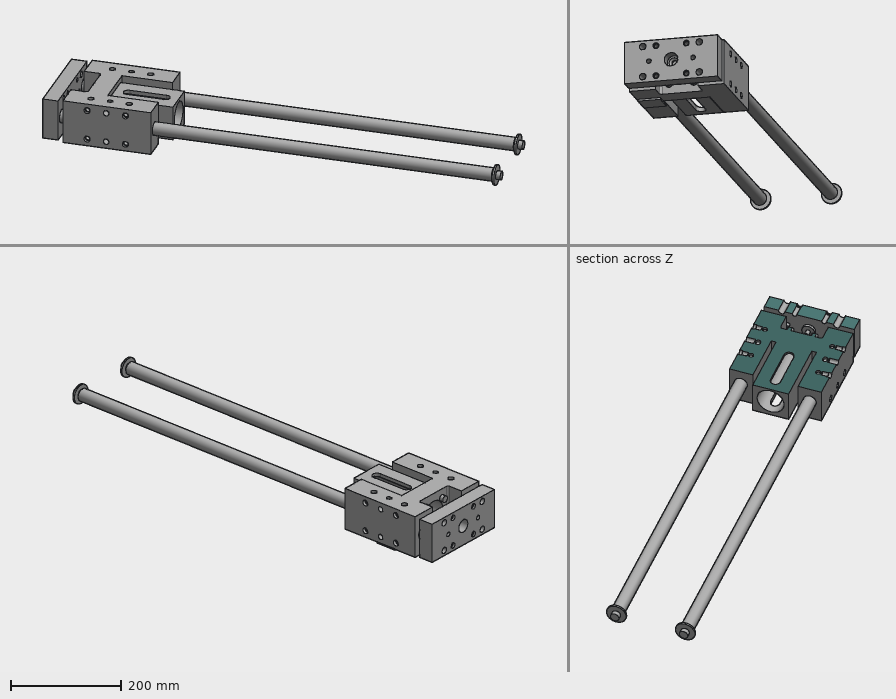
import cadquery as cq

total_length = 864.0

plate_thickness = 29.0
plate_width = 174.5
plate_height = 79.0
rod_spacing = 133.0
rod_diameter = 25.0
rod_chamfer = 3.5
stop_diameter = 38.0
stop_thickness = 3.5
stop_gap = 9.0
stop_screw_diameter = 16.0
coupling_diameter = 25.0
coupling_thickness = 5.0
coupling_bore_depth = 21.0
coupling_pin_diameter = 8.4
coupling_pin_length = 10.0
coupling_cone_diameter = 18.0
coupling_cone_depth = 4.0
coupling_socket_diameter = 10.0
coupling_socket_depth = 8.0

plate_hole_height = 57.0
outer_plate_hole_spacing = 106.0
outer_plate_hole_diameter = 12.0
inner_plate_hole_spacing = 57.0
inner_plate_hole_mouth_diameter = 10.0
inner_plate_hole_core_diameter = 8.0
inner_plate_hole_mouth_depth = 4.0
dowel_spacing = 83.0
dowel_diameter = 8.5

housing_gap = 9.5
housing_length = 167.0
housing_width = 178.0
housing_height = 84.0
front_notch_depth = 32.0
front_notch_width = 80.0
front_notch_fillet = 4.0
web_thickness = 39.0
rear_notch_width = 86.0

tongue_width = 70.0
tongue_height = 66.0
tongue_drop = 1.0
tongue_length = 121.0
slot_width = 18.0
slot_length = 88.0
slot_offset = 16.0

bore_diameter = 52.0
web_screw_diameter = 13.0
web_screw_height = 8.0
web_screw_spacing = 47.0

mount_start = 46.0
mount_pitch = 36.0
mount_mouth_diameter = 11.0
mount_core_diameter = 8.5
side_dowel_diameter = 10.0
mount_depth = 17.0
mount_mouth_depth = 6.0
top_row_spacing = 130.0
side_row_spacing = 57.0
dowel_slot_length = 10.0
dowel_slot_width = 8.5

pad_size = 42.0
pad_height = 3.5
pad_center_x = 110.0
pad_center_y = 66.0

housing_front = plate_thickness + housing_gap
housing_rear = housing_front + housing_length
web_front = housing_front + front_notch_depth
web_rear = web_front + web_thickness
rod_sides = (-rod_spacing / 2, rod_spacing / 2)
mount_row = [housing_front + mount_start + i * mount_pitch for i in range(3)]


def block(x_start, length, width, height):
    """A box centred on the X axis that starts at x_start."""
    plane = cq.Workplane("XY", origin=(x_start, 0, 0))
    return plane.box(length, width, height, centered=(False, True, True))


def cylinder_along_x(x_start, length, diameter, y=0, z=0):
    """A cylinder along +X."""
    return cq.Workplane("YZ", origin=(x_start, y, z)).circle(diameter / 2).extrude(length)


def grid(y_spacing, z_spacing):
    """The four corners of a centred rectangle."""
    return [(sy * y_spacing / 2, sz * z_spacing / 2) for sy in (-1, 1) for sz in (-1, 1)]


def make_guide_rod(y):
    """One rod with its end stop and stop screw."""
    stop_rear = total_length - stop_gap
    stop_front = stop_rear - stop_thickness
    rod = cylinder_along_x(plate_thickness, stop_front - plate_thickness, rod_diameter, y)
    rod = rod.faces(">X").chamfer(rod_chamfer)
    stop = cylinder_along_x(stop_front, stop_thickness, stop_diameter, y)
    screw = cylinder_along_x(stop_rear, stop_gap, stop_screw_diameter, y)
    return rod.union(stop).union(screw)


def make_coupling(plate):
    """Adds the flange and pin behind the plate, and the stepped socket in front of them."""
    flange = cylinder_along_x(plate_thickness, coupling_thickness, coupling_diameter)
    pin = cylinder_along_x(plate_thickness + coupling_thickness, coupling_pin_length, coupling_pin_diameter)
    bore = cylinder_along_x(0, coupling_bore_depth, coupling_diameter)
    cone = cq.Solid.makeCone(
        coupling_cone_diameter / 2,
        coupling_socket_diameter / 2,
        coupling_cone_depth,
        cq.Vector(coupling_bore_depth, 0, 0),
        cq.Vector(1, 0, 0),
    )
    socket = cylinder_along_x(coupling_bore_depth, coupling_socket_depth, coupling_socket_diameter)
    return plate.union(flange).union(pin).cut(bore).cut(cq.Workplane(cone)).cut(socket)


def make_slide():
    plate = block(0, plate_thickness, plate_width, plate_height)
    for y, z in grid(outer_plate_hole_spacing, plate_hole_height):
        plate = plate.cut(cylinder_along_x(0, plate_thickness, outer_plate_hole_diameter, y, z))
    for y, z in grid(inner_plate_hole_spacing, plate_hole_height):
        plate = plate.cut(cylinder_along_x(0, plate_thickness, inner_plate_hole_core_diameter, y, z))
        mouth = cylinder_along_x(0, inner_plate_hole_mouth_depth, inner_plate_hole_mouth_diameter, y, z)
        plate = plate.cut(mouth)
    for y in (-dowel_spacing / 2, dowel_spacing / 2):
        plate = plate.cut(cylinder_along_x(0, plate_thickness, dowel_diameter, y))
    slide = make_coupling(plate)
    for y in rod_sides:
        slide = slide.union(make_guide_rod(y))
    return slide


def blind_hole(center, direction, diameter, depth):
    """A round cutter that starts at center and goes into the body along direction."""
    return cq.Workplane(cq.Solid.makeCylinder(diameter / 2, depth, center, direction))


def mount_hole(center, direction):
    """A stepped cutter: a wide mouth, then a narrower core."""
    core = blind_hole(center, direction, mount_core_diameter, mount_depth)
    return core.union(blind_hole(center, direction, mount_mouth_diameter, mount_mouth_depth))


def make_frame():
    """The H-shaped housing block with its two notches."""
    frame = block(housing_front, housing_length, housing_width, housing_height)
    front_notch = block(housing_front, front_notch_depth, front_notch_width, housing_height)
    rear_notch = block(web_rear, housing_rear - web_rear, rear_notch_width, housing_height)
    return frame.cut(front_notch.edges("|Z and >X").fillet(front_notch_fillet)).cut(rear_notch)


def make_tongue():
    """The slotted block behind the web."""
    tongue = block(web_rear, tongue_length, tongue_width, tongue_height).translate((0, 0, -tongue_drop))
    slot_center_x = web_rear + slot_offset + slot_length / 2
    slot = cq.Workplane("XY", origin=(slot_center_x, 0, 0)).slot2D(slot_length, slot_width)
    return tongue.cut(slot.extrude(tongue_height, both=True))


def cut_top_holes(body):
    """Two stepped holes and a locating slot in the top of each arm."""
    top = housing_height / 2
    for y in (-top_row_spacing / 2, top_row_spacing / 2):
        for x in (mount_row[0], mount_row[2]):
            body = body.cut(mount_hole(cq.Vector(x, y, top), cq.Vector(0, 0, -1)))
        slot = cq.Workplane("XY", origin=(mount_row[1], y, top)).slot2D(dowel_slot_length, dowel_slot_width)
        body = body.cut(slot.extrude(-mount_depth))
    return body


def cut_side_holes(body):
    """Two rows of holes in each outer side: stepped at the ends, plain in the middle."""
    for side in (-1, 1):
        inward = cq.Vector(0, -side, 0)
        face = side * housing_width / 2
        for z in (-side_row_spacing / 2, side_row_spacing / 2):
            for x in (mount_row[0], mount_row[2]):
                body = body.cut(mount_hole(cq.Vector(x, face, z), inward))
            center = cq.Vector(mount_row[1], face, z)
            body = body.cut(blind_hole(center, inward, side_dowel_diameter, mount_depth))
    return body


def make_housing():
    body = make_frame().union(make_tongue())
    body = body.cut(cylinder_along_x(web_front, web_thickness + tongue_length, bore_diameter))
    screw_front = web_front - web_screw_height
    for y, z in grid(web_screw_spacing, web_screw_spacing):
        body = body.union(cylinder_along_x(screw_front, web_screw_height, web_screw_diameter, y, z))
    for y in rod_sides:
        body = body.cut(cylinder_along_x(housing_front, housing_length, rod_diameter, y))
    body = cut_side_holes(cut_top_holes(body))
    underside = cq.Workplane("XY", origin=(pad_center_x, pad_center_y, -housing_height / 2))
    return body.union(underside.rect(pad_size, pad_size).extrude(-pad_height))


slide = make_slide()
housing = make_housing()
result = cq.Compound.makeCompound([slide.solids().val(), housing.solids().val()])